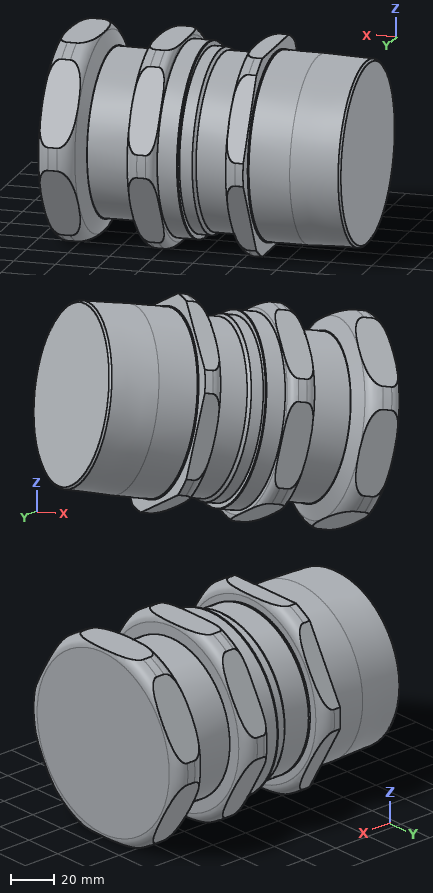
import cadquery as cq
import math

ACROSS_FLATS = 95.0
ACROSS_CORNERS = 104.0
NUT_RADIUS = ACROSS_CORNERS / 2
CORNER_FILLET = 6.0
SMALL_CORNER_FILLET = 4.0

ENTRY_START = 0.0
TAPER_END = 24.2
ENTRY_END = 43.7
ENTRY_NUT_START = 44.3
ENTRY_NUT_END = 54.2
RING_START = 55.2
COLLAR_START = 71.2
COLLAR_END = 77.3
RING_END = 77.9
GLAND_NUT_START = 87.2
GLAND_NUT_END = 101.5
CAP_START = 122.9
CAP_CONE_END = 126.6
CAP_CROWN_START = 133.8
CAP_END = 144.2

ENTRY_TIP_DIAMETER = 87.5
ENTRY_DIAMETER = 89.0
LEFT_SPIGOT_DIAMETER = 89.7
RING_DIAMETER = 84.4
COLLAR_DIAMETER = 87.2
SHOULDER_DIAMETER = 92.1
SLEEVE_DIAMETER = 79.7
CAP_MOUTH_DIAMETER = 80.5
CAP_CONE_DIAMETER = 94.9

ENTRY_CHAMFER = 1.0


def cylinder(start, end, diameter):
    """Round bar along X between two stations."""
    return cq.Workplane("YZ", origin=(start, 0, 0)).circle(diameter / 2).extrude(end - start)


def hexagon(start, end):
    """Sharp hexagonal bar along X, with corners on the Y axis."""
    sharp_corners = ACROSS_FLATS / math.cos(math.radians(30))
    return cq.Workplane("YZ", origin=(start, 0, 0)).polygon(6, sharp_corners).extrude(end - start)


def revolve_about_x(profile):
    return profile.close().revolve(360, (0, 0, 0), (1, 0, 0))


def make_entry():
    """Closed barrel with a chamfered tip and a tapered front half."""
    tip_radius = ENTRY_TIP_DIAMETER / 2
    entry_radius = ENTRY_DIAMETER / 2
    return revolve_about_x(
        cq.Workplane("XY")
        .moveTo(ENTRY_START, 0)
        .lineTo(ENTRY_START, tip_radius - ENTRY_CHAMFER)
        .lineTo(ENTRY_START + ENTRY_CHAMFER, tip_radius)
        .lineTo(TAPER_END, entry_radius)
        .lineTo(ENTRY_END, entry_radius)
        .lineTo(ENTRY_END, 0)
    )


def make_entry_nut():
    """Hexagon rounded on its right corners, with a short round spigot on each side."""
    turned_nut = (
        cylinder(ENTRY_NUT_START, ENTRY_NUT_END, ACROSS_CORNERS)
        .faces(">X").edges().fillet(CORNER_FILLET)
    )
    nut = hexagon(ENTRY_NUT_START, ENTRY_NUT_END).intersect(turned_nut)
    left_spigot = cylinder(ENTRY_END, ENTRY_NUT_START, LEFT_SPIGOT_DIAMETER)
    right_spigot = cylinder(ENTRY_NUT_END, RING_START, RING_DIAMETER)
    return nut.union(left_spigot).union(right_spigot)


def make_ring():
    """Intermediate ring with a chamfered collar and a thin flange on its right end."""
    chamfer = (COLLAR_DIAMETER - RING_DIAMETER) / 2
    collar = (
        cylinder(COLLAR_START - chamfer, COLLAR_END, COLLAR_DIAMETER)
        .faces("<X").edges().chamfer(chamfer)
    )
    flange = cylinder(COLLAR_END, RING_END, SHOULDER_DIAMETER)
    return cylinder(RING_START, COLLAR_END, RING_DIAMETER).union(collar).union(flange)


def make_gland_nut():
    """Hexagon with both corner edges rounded, a left shoulder and a right sleeve."""
    turned_nut = (
        cylinder(GLAND_NUT_START, GLAND_NUT_END, ACROSS_CORNERS)
        .faces("<X").edges().fillet(SMALL_CORNER_FILLET)
        .faces(">X").edges().fillet(CORNER_FILLET)
    )
    nut = hexagon(GLAND_NUT_START, GLAND_NUT_END).intersect(turned_nut)
    shoulder = cylinder(RING_END, GLAND_NUT_START, SHOULDER_DIAMETER)
    sleeve = cylinder(GLAND_NUT_END, CAP_START, SLEEVE_DIAMETER)
    return nut.union(shoulder).union(sleeve)


def make_cap_nut():
    """Hexagonal cap with a cone that runs into the rounded corners."""
    run = CAP_CROWN_START - CAP_CONE_END
    rise = NUT_RADIUS - CAP_CONE_DIAMETER / 2
    arc_radius = (run**2 + rise**2) / (2 * rise)
    half_sweep = math.atan2(rise, run)
    arc_middle = (
        CAP_CROWN_START - arc_radius * math.sin(half_sweep),
        NUT_RADIUS - arc_radius * (1 - math.cos(half_sweep)),
    )
    turned_cap = revolve_about_x(
        cq.Workplane("XY")
        .moveTo(CAP_START, 0)
        .lineTo(CAP_START, CAP_MOUTH_DIAMETER / 2)
        .lineTo(CAP_CONE_END, CAP_CONE_DIAMETER / 2)
        .threePointArc(arc_middle, (CAP_CROWN_START, NUT_RADIUS))
        .lineTo(CAP_END - CORNER_FILLET, NUT_RADIUS)
        .radiusArc((CAP_END, NUT_RADIUS - CORNER_FILLET), CORNER_FILLET)
        .lineTo(CAP_END, 0)
    )
    return hexagon(CAP_START, CAP_END).intersect(turned_cap)


entry = make_entry()
entry_nut = make_entry_nut()
ring = make_ring()
gland_nut = make_gland_nut()
cap_nut = make_cap_nut()

result = cq.Compound.makeCompound([
    entry.val(),
    entry_nut.val(),
    ring.val(),
    gland_nut.val(),
    cap_nut.val(),
])